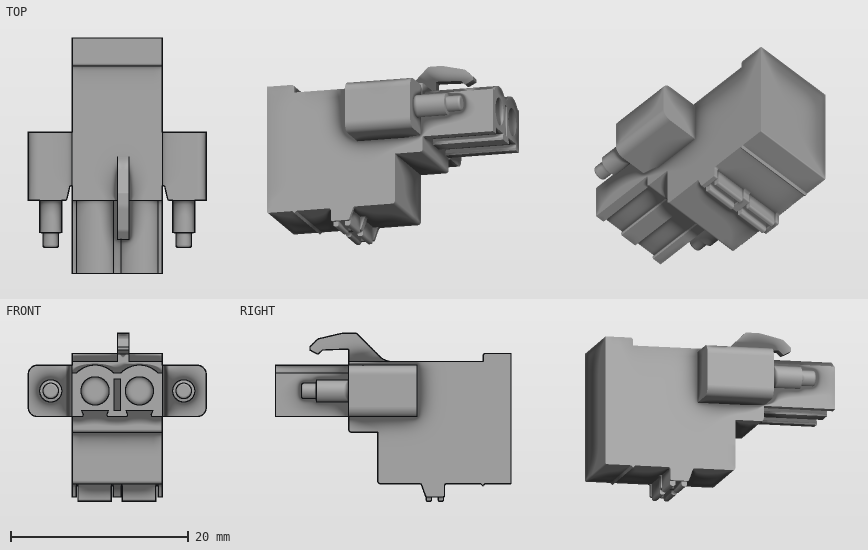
import cadquery as cq
import math


POLE_COUNT = 2
POLE_PITCH = 5.0
POLE_XS = [(i - (POLE_COUNT - 1) / 2) * POLE_PITCH for i in range(POLE_COUNT)]
AXIS_Z = 10.48

TOTAL_LENGTH = 26.6
BODY_WIDTH = 10.2
BODY_FRONT_Y = 8.27
LOWER_FRONT_Y = 11.55
STEP_Z = 5.8
TOP_Z = 13.8
LEDGE_Y = 23.43
LEDGE_Z = 14.7
LEDGE_ROUND = 0.27
FRONT_ROUND = 0.32
REAR_ROUND = 0.13

NOSE_HEIGHT = 5.83
NOSE_BOTTOM_Z = AXIS_Z - NOSE_HEIGHT / 2
CROWN_RADIUS = NOSE_HEIGHT / 2
CROWN_HALF_CHORD = 2.1
SHOULDER_Z = AXIS_Z + math.sqrt(CROWN_RADIUS ** 2 - CROWN_HALF_CHORD ** 2)
SOCKET_DIAMETER = 3.2
SOCKET_DEPTH = 1.06
SLOT_WIDTH = 0.75
SLOT_TOP_Z = 11.8
GROOVE_DEPTH = 0.72
GROOVE_ROOT_HALF = 1.52
GROOVE_WAIST_HALF = 1.33
GROOVE_MOUTH_HALF = 1.4
GROOVE_WAIST_RISE = 0.25

TOTAL_WIDTH = 20.1
FLANGE_REAR_Y = 15.95
FLANGE_ROUND = 1.06
NOTCH_END_Y = 9.9
NOTCH_MOUTH = 0.6
NOTCH_ROOT = 0.25
NOTCH_MOUTH_ROUND = 0.25
NOTCH_ROOT_ROUND = 0.1
PIN_X = 7.5
PIN_RADIUS = 1.25
PIN_SHOULDER_Y = 4.65
PIN_CONE_LENGTH = 0.08
PIN_TIP_RADIUS = 0.88
PIN_TIP_Y = 2.95
PIN_TIP_ROUND = 0.25

LATCH_LEFT_X = 0.03
LATCH_WIDTH = 1.3
LATCH_REAR_Y = 13.15
LATCH_RAMP_RADIUS = 1.92
LATCH_TOP_Z = 17.0
LATCH_TOP_ROUND = 0.32
LATCH_CREST_END_Y = 7.55
LATCH_CREST_ROUND = 2.13
LATCH_THROAT_Y = BODY_FRONT_Y
LATCH_THROAT_Z = 15.2
LATCH_THROAT_ROUND = 0.15
BEAK_TOP = (4.81, 16.35)
BEAK_NOSE = (3.88, 15.45)
BEAK_NOSE_LOWER = (3.88, 15.08)
BEAK_TOOTH = (4.81, 14.6)
BEAK_BACK = (5.32, 15.08)
BEAK_TOP_ROUND = 0.66
BEAK_TOOTH_ROUND = 0.1

RIB_DEPTH = 1.5
RIB_REAR_Y = 19.1
RIB_FRONT_TOP_Y = 16.45
RIB_FRONT_BOTTOM_Y = 16.97
RIB_ROOT_ROUND = 0.25
RIB_TIP_ROUND = 0.15
RIB_MIDDLE_WIDTH = 0.9
RIB_SIDE_WIDTH = 0.48
FOOT_DEPTH = 2.0
FOOT_THICKNESS = 0.65
FOOT_WIDTH = 3.8
FOOT_OFFSET_X = -0.05
FOOT_FRONT_YS = [17.0, 18.35]
FOOT_ROUND = 0.25
RIDGE_Y = 23.4
RIDGE_HALF_WIDTH = 0.25
RIDGE_DEPTH = 0.25


def extrude_x(profile_yz, left_x, width):
    """Close an outline drawn in the YZ plane and extrude it from left_x toward +X."""
    return profile_yz.close().extrude(width).translate((left_x, 0, 0))


def round_x_edges(solid, y, z, radius):
    """Round the edge that runs along X through the point (y, z)."""
    point = (solid.val().Center().x, y, z)
    return solid.edges("|X").edges(cq.selectors.NearestToPointSelector(point)).fillet(radius)


def mating_plane():
    """Workplane on the mating face, with local axes X and Z; negative extrusions run toward +Y."""
    return cq.Workplane("XZ")


def housing_body():
    outline = cq.Workplane("YZ").polyline([
        (TOTAL_LENGTH, 0),
        (TOTAL_LENGTH, LEDGE_Z),
        (LEDGE_Y, LEDGE_Z),
        (LEDGE_Y, TOP_Z),
        (BODY_FRONT_Y, TOP_Z),
        (BODY_FRONT_Y, STEP_Z),
        (LOWER_FRONT_Y, STEP_Z),
        (LOWER_FRONT_Y, 0),
    ])
    body = extrude_x(outline, -BODY_WIDTH / 2, BODY_WIDTH)
    body = round_x_edges(body, LEDGE_Y, LEDGE_Z, LEDGE_ROUND)
    body = round_x_edges(body, BODY_FRONT_Y, STEP_Z, FRONT_ROUND)
    body = round_x_edges(body, LOWER_FRONT_Y, 0, FRONT_ROUND)
    return round_x_edges(body, TOTAL_LENGTH, 0, REAR_ROUND)


def dovetail_groove(x):
    waist_z = NOSE_BOTTOM_Z + GROOVE_WAIST_RISE
    root_z = NOSE_BOTTOM_Z + GROOVE_DEPTH
    half_outline = [
        (GROOVE_MOUTH_HALF, NOSE_BOTTOM_Z),
        (GROOVE_WAIST_HALF, waist_z),
        (GROOVE_ROOT_HALF, root_z),
    ]
    right = [(x + offset, z) for offset, z in half_outline]
    left = [(x - offset, z) for offset, z in reversed(half_outline)]
    return mating_plane().polyline(right + left).close().extrude(-BODY_FRONT_Y)


def mating_nose():
    half_width = BODY_WIDTH / 2
    outline = mating_plane().moveTo(-half_width, NOSE_BOTTOM_Z).lineTo(-half_width, SHOULDER_Z)
    for x in POLE_XS:
        outline = outline.lineTo(x - CROWN_HALF_CHORD, SHOULDER_Z)
        outline = outline.threePointArc(
            (x, AXIS_Z + CROWN_RADIUS), (x + CROWN_HALF_CHORD, SHOULDER_Z)
        )
    outline = outline.lineTo(half_width, SHOULDER_Z).lineTo(half_width, NOSE_BOTTOM_Z)
    nose = outline.close().extrude(-BODY_FRONT_Y)

    for x in POLE_XS:
        socket = mating_plane().center(x, AXIS_Z).circle(SOCKET_DIAMETER / 2).extrude(-SOCKET_DEPTH)
        nose = nose.cut(socket).cut(dovetail_groove(x))

    slot_bottom_z = NOSE_BOTTOM_Z + GROOVE_DEPTH
    slot = cq.Workplane("XY").box(
        SLOT_WIDTH, BODY_FRONT_Y, SLOT_TOP_Z - slot_bottom_z, centered=(True, False, False)
    )
    return nose.cut(slot.translate((0, 0, slot_bottom_z)))


def right_flange():
    body_x = BODY_WIDTH / 2
    outer_x = TOTAL_WIDTH / 2
    mouth_x = body_x + NOTCH_MOUTH
    root_x = body_x + NOTCH_ROOT
    flange = (
        cq.Workplane("XY")
        .polyline([
            (body_x, FLANGE_REAR_Y),
            (outer_x, FLANGE_REAR_Y),
            (outer_x, BODY_FRONT_Y),
            (mouth_x, BODY_FRONT_Y),
            (root_x, NOTCH_END_Y),
            (body_x, NOTCH_END_Y),
        ])
        .close()
        .extrude(NOSE_HEIGHT)
        .translate((0, 0, NOSE_BOTTOM_Z))
    )
    mouth_edge = cq.selectors.NearestToPointSelector((mouth_x, BODY_FRONT_Y, AXIS_Z))
    root_edge = cq.selectors.NearestToPointSelector((root_x, NOTCH_END_Y, AXIS_Z))
    flange = flange.edges("|Z").edges(mouth_edge).fillet(NOTCH_MOUTH_ROUND)
    flange = flange.edges("|Z").edges(root_edge).fillet(NOTCH_ROOT_ROUND)
    return flange.faces(">X").edges("|Y").fillet(FLANGE_ROUND)


def right_pin():
    """Stepped pin, revolved about its own axis along Y."""
    pin = (
        cq.Workplane("YZ")
        .polyline([
            (BODY_FRONT_Y, 0),
            (BODY_FRONT_Y, PIN_RADIUS),
            (PIN_SHOULDER_Y, PIN_RADIUS),
            (PIN_SHOULDER_Y - PIN_CONE_LENGTH, PIN_TIP_RADIUS),
            (PIN_TIP_Y, PIN_TIP_RADIUS),
            (PIN_TIP_Y, 0),
        ])
        .close()
        .revolve(360, (0, 0, 0), (1, 0, 0))
    )
    pin = pin.faces("<Y").edges().fillet(PIN_TIP_ROUND)
    return pin.translate((PIN_X, 0, AXIS_Z))


def latch():
    ramp_angle = math.radians(45)

    def ramp_point(angle):
        return (
            LATCH_REAR_Y - LATCH_RAMP_RADIUS * math.sin(angle),
            TOP_Z + LATCH_RAMP_RADIUS * (1 - math.cos(angle)),
        )

    ramp_end = ramp_point(ramp_angle)
    crest_start_y = ramp_end[0] - (LATCH_TOP_Z - ramp_end[1])
    outline = (
        cq.Workplane("YZ")
        .moveTo(LATCH_THROAT_Y, TOP_Z)
        .lineTo(LATCH_REAR_Y, TOP_Z)
        .threePointArc(ramp_point(ramp_angle / 2), ramp_end)
        .lineTo(crest_start_y, LATCH_TOP_Z)
        .lineTo(LATCH_CREST_END_Y, LATCH_TOP_Z)
        .lineTo(*BEAK_TOP)
        .lineTo(*BEAK_NOSE)
        .lineTo(*BEAK_NOSE_LOWER)
        .lineTo(*BEAK_TOOTH)
        .lineTo(*BEAK_BACK)
        .lineTo(LATCH_THROAT_Y, LATCH_THROAT_Z)
    )
    hook = extrude_x(outline, LATCH_LEFT_X, LATCH_WIDTH)
    hook = round_x_edges(hook, crest_start_y, LATCH_TOP_Z, LATCH_TOP_ROUND)
    hook = round_x_edges(hook, LATCH_CREST_END_Y, LATCH_TOP_Z, LATCH_CREST_ROUND)
    hook = round_x_edges(hook, *BEAK_TOP, BEAK_TOP_ROUND)
    hook = round_x_edges(hook, *BEAK_TOOTH, BEAK_TOOTH_ROUND)
    return round_x_edges(hook, LATCH_THROAT_Y, LATCH_THROAT_Z, LATCH_THROAT_ROUND)


def underside_rib(left_x, width):
    """Tapered rib hanging below the housing, with a root strip that blends into its underside."""
    root_margin = 0.53
    outline = cq.Workplane("YZ").polyline([
        (RIB_REAR_Y + root_margin, root_margin),
        (RIB_REAR_Y + root_margin, 0),
        (RIB_REAR_Y, 0),
        (RIB_REAR_Y, -RIB_DEPTH),
        (RIB_FRONT_BOTTOM_Y, -RIB_DEPTH),
        (RIB_FRONT_TOP_Y, 0),
        (RIB_FRONT_TOP_Y - root_margin, 0),
        (RIB_FRONT_TOP_Y - root_margin, root_margin),
    ])
    rib = extrude_x(outline, left_x, width)
    rib = round_x_edges(rib, RIB_REAR_Y, 0, RIB_ROOT_ROUND)
    rib = round_x_edges(rib, RIB_FRONT_TOP_Y, 0, RIB_ROOT_ROUND)
    rib = round_x_edges(rib, RIB_FRONT_BOTTOM_Y, -RIB_DEPTH, RIB_TIP_ROUND)
    return round_x_edges(rib, RIB_REAR_Y, -RIB_DEPTH, RIB_TIP_ROUND)


def foot(center_x, front_y):
    plate = cq.Workplane("XY").box(
        FOOT_WIDTH, FOOT_THICKNESS, FOOT_DEPTH, centered=(True, False, False)
    )
    plate = plate.faces("<Z").edges("|X").fillet(FOOT_ROUND)
    return plate.translate((center_x, front_y, -FOOT_DEPTH))


def underside_ridge():
    outline = cq.Workplane("YZ").polyline([
        (RIDGE_Y - RIDGE_HALF_WIDTH, 0),
        (RIDGE_Y, -RIDGE_DEPTH),
        (RIDGE_Y + RIDGE_HALF_WIDTH, 0),
    ])
    return extrude_x(outline, -BODY_WIDTH / 2, BODY_WIDTH)


result = housing_body().union(mating_nose()).union(latch()).union(underside_ridge())

for side_part in (right_flange(), right_pin()):
    result = result.union(side_part).union(side_part.mirror("YZ"))

side_rib = underside_rib(BODY_WIDTH / 2 - RIB_SIDE_WIDTH, RIB_SIDE_WIDTH)
middle_rib = underside_rib(-RIB_MIDDLE_WIDTH / 2, RIB_MIDDLE_WIDTH)
result = result.union(side_rib).union(side_rib.mirror("YZ")).union(middle_rib)

for pole_x in POLE_XS:
    for foot_y in FOOT_FRONT_YS:
        result = result.union(foot(pole_x + FOOT_OFFSET_X, foot_y))